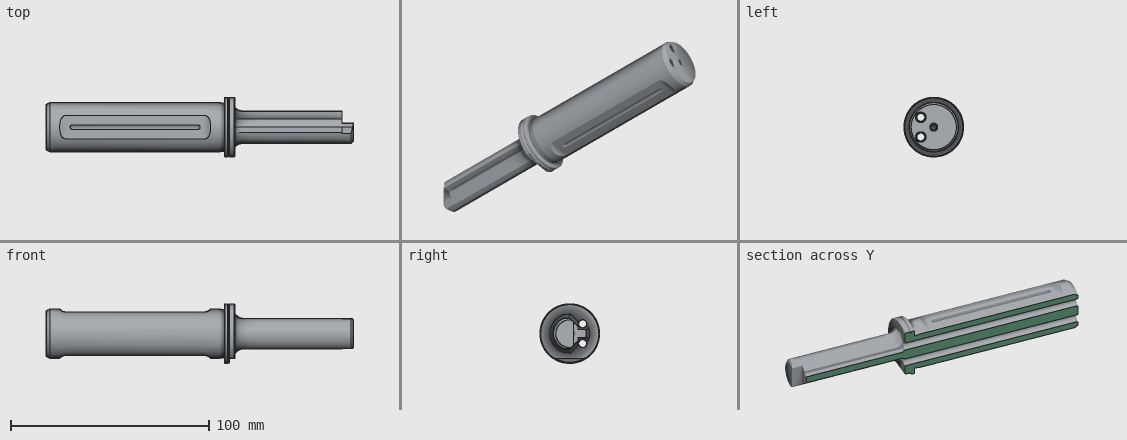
import cadquery as cq

overall_length = 155.0

body_diameter = 25.0
body_radius = body_diameter / 2
rear_chamfer_length = 2.0
rear_chamfer_depth = 1.1
relief_start = 87.4
relief_taper = 1.0
relief_depth = 0.23

flange_radius = 15.0
flange_start = 89.9
flange_end = 95.2
flange_chamfer = 0.39
groove_center = 92.0
groove_half_width = 0.5
groove_depth = 0.6
flange_flat_start = 92.4
flange_flat_height = body_radius

shank_radius = 8.2
root_radius = 5.5
root_end = 99.2
tip_chamfer = 1.2

body_flat_height = 11.0
body_flat_start = 9.9
body_flat_end = 80.0
body_flat_end_radius = 3.9
oil_groove_radius = 1.16
oil_groove_start = 13.3
oil_groove_end = 76.5

shank_flat_height = 7.8
shank_flat_width = 6.2
bevel_width = 4.2
flute_floor_height = 2.0
flute_floor_root_radius = 1.9

seat_start = 149.3
seat_wall_y = 2.0
tip_flat_height = 7.6

coolant_hole_radius = 2.0
coolant_hole_y = 6.5
coolant_hole_z = 5.0
center_hole_radius = 1.4
center_hole_depth = 6.2
countersink_depth = 0.6

clearance = 15.5


def x_cylinder(radius, start, length):
    return cq.Workplane("YZ", origin=(start, 0, 0)).circle(radius).extrude(length)


def box_between(low, high):
    size = [b - a for a, b in zip(low, high)]
    return cq.Workplane("XY").box(*size, centered=False).translate(low)


def with_mirror(cutter):
    """Pair a cutter above the axis with its copy below."""
    return cutter.union(cutter.mirror("XY"))


def turned_blank():
    relief_radius = body_radius - relief_depth
    shoulder_radius = flange_radius - flange_chamfer
    root_center_r = shank_radius + root_radius
    root_run = root_end - flange_end
    root_outer_r = root_center_r - (root_radius**2 - root_run**2) ** 0.5
    half_run = root_run / 2
    root_middle = (
        root_end - half_run,
        root_center_r - (root_radius**2 - half_run**2) ** 0.5,
    )
    return (
        cq.Workplane("XY")
        .moveTo(0, 0)
        .lineTo(0, body_radius - rear_chamfer_depth)
        .lineTo(rear_chamfer_length, body_radius)
        .lineTo(relief_start, body_radius)
        .lineTo(relief_start + relief_taper, relief_radius)
        .lineTo(flange_start, relief_radius)
        .lineTo(flange_start, shoulder_radius)
        .lineTo(flange_start + flange_chamfer, flange_radius)
        .lineTo(groove_center - groove_half_width, flange_radius)
        .lineTo(groove_center, flange_radius - groove_depth)
        .lineTo(groove_center + groove_half_width, flange_radius)
        .lineTo(flange_end - flange_chamfer, flange_radius)
        .lineTo(flange_end, shoulder_radius)
        .lineTo(flange_end, root_outer_r)
        .threePointArc(root_middle, (root_end, shank_radius))
        .lineTo(overall_length - tip_chamfer, shank_radius)
        .lineTo(overall_length, shank_radius - tip_chamfer)
        .lineTo(overall_length, 0)
        .close()
        .revolve(360, (0, 0, 0), (1, 0, 0))
    )


def body_flats():
    """Flat pads whose ends sweep up to the body surface in an arc."""
    r = body_flat_end_radius
    pad = box_between(
        (body_flat_start - r, -body_radius, body_flat_height),
        (body_flat_end + r, body_radius, body_flat_height + clearance),
    )
    return with_mirror(pad.edges("<Z and |Y").fillet(r))


def oil_grooves():
    """Ball-ended grooves whose center line lies on each body flat."""
    r = oil_groove_radius
    axis_z = body_flat_height
    capsule = (
        cq.Workplane("XZ")
        .moveTo(oil_groove_start - r, axis_z)
        .radiusArc((oil_groove_start, axis_z + r), r)
        .lineTo(oil_groove_end, axis_z + r)
        .radiusArc((oil_groove_end + r, axis_z), r)
        .close()
        .revolve(360, (0, axis_z, 0), (1, axis_z, 0))
    )
    return with_mirror(capsule)


def flange_flat():
    return box_between(
        (flange_flat_start, -flange_radius, -flange_radius - clearance),
        (flange_end, flange_radius, -flange_flat_height),
    )


def shank_cutter(profile, root_edge):
    """Run a cross-section (y, z) along the shank with an arc up to the flange."""
    cutter = (
        cq.Workplane("YZ", origin=(root_end - root_radius, 0, 0))
        .polyline(profile)
        .close()
        .extrude(overall_length)
        .faces("<X")
        .edges(root_edge)
        .fillet(root_radius)
    )
    front_of_flange = x_cylinder(4 * clearance, flange_end, 2 * overall_length)
    return with_mirror(cutter.intersect(front_of_flange))


def shank_flats():
    profile = [
        (0, shank_flat_height),
        (-shank_flat_width, shank_flat_height),
        (-shank_flat_width, 2 * clearance),
        (0, 2 * clearance),
    ]
    return shank_cutter(profile, "<Z")


def shank_bevels():
    profile = [
        (0, shank_flat_height),
        (bevel_width, shank_flat_height - bevel_width),
        (bevel_width, 2 * clearance),
        (0, 2 * clearance),
    ]
    return shank_cutter(profile, "<Z")


def flutes():
    """Open steps beside the bevels, up to the front face of the flange."""
    step = box_between(
        (flange_end, bevel_width, flute_floor_height),
        (overall_length + clearance, clearance, clearance),
    )
    return with_mirror(step.edges("<X and <Z").fillet(flute_floor_root_radius))


def insert_seat():
    tip_end = overall_length + clearance
    side = box_between(
        (seat_start, seat_wall_y, -clearance), (tip_end, clearance, clearance)
    )
    top = box_between(
        (seat_start, -clearance, tip_flat_height), (tip_end, clearance, clearance)
    )
    return side.union(with_mirror(top))


def countersunk_hole(radius, depth, point_depth):
    """Hole from the rear face along X, ending in a cone point_depth deep."""
    return (
        cq.Workplane("XY")
        .moveTo(0, 0)
        .lineTo(0, radius + countersink_depth)
        .lineTo(countersink_depth, radius)
        .lineTo(depth, radius)
        .lineTo(depth + point_depth, 0)
        .close()
        .revolve(360, (0, 0, 0), (1, 0, 0))
    )


def coolant_holes():
    hole = countersunk_hole(coolant_hole_radius, overall_length, coolant_hole_radius)
    return with_mirror(hole.translate((0, coolant_hole_y, coolant_hole_z)))


def center_hole():
    return countersunk_hole(center_hole_radius, center_hole_depth, center_hole_radius)


part = turned_blank()
for feature in (
    body_flats,
    oil_grooves,
    flange_flat,
    shank_flats,
    shank_bevels,
    flutes,
    insert_seat,
    coolant_holes,
    center_hole,
):
    part = part.cut(feature())

result = part.solids()